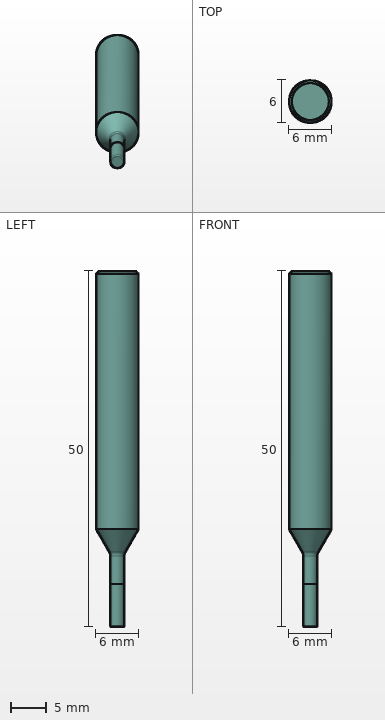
import cadquery as cq
import math

total_length = 50.0
shank_radius = 6.0 / 2
shank_chamfer = 0.4

head_radius = 2.0 / 2
head_length = 6.0
corner_radius = 0.2

neck_radius = head_radius
neck_end = 10.0
cone_half_angle = math.radians(30)
blend_radius = 1.0

blend_center_r = neck_radius + blend_radius


def blend_point(angle):
    """Radius and height on the blend arc after it has turned through the angle."""
    radius = blend_center_r - blend_radius * math.cos(angle)
    height = neck_end + blend_radius * math.sin(angle)
    return radius, height


cone_start_r, cone_start_z = blend_point(cone_half_angle)
cone_end_z = cone_start_z + (shank_radius - cone_start_r) / math.tan(cone_half_angle)


def make_head():
    """Plain cylindrical cutting head with a rounded corner at the tip."""
    head = cq.Workplane("XY").circle(head_radius).extrude(head_length)
    return head.faces("<Z").edges().fillet(corner_radius)


def make_shank():
    """Neck, blended cone and chamfered shank, revolved about Z."""
    return (
        cq.Workplane("XZ")
        .moveTo(0, head_length)
        .lineTo(neck_radius, head_length)
        .lineTo(neck_radius, neck_end)
        .threePointArc(blend_point(cone_half_angle / 2), (cone_start_r, cone_start_z))
        .lineTo(shank_radius, cone_end_z)
        .lineTo(shank_radius, total_length - shank_chamfer)
        .lineTo(shank_radius - shank_chamfer, total_length)
        .lineTo(0, total_length)
        .close()
        .revolve(360, (0, 0, 0), (0, 1, 0))
    )


head = make_head()
shank = make_shank()

result = cq.Compound.makeCompound([head.val(), shank.val()])